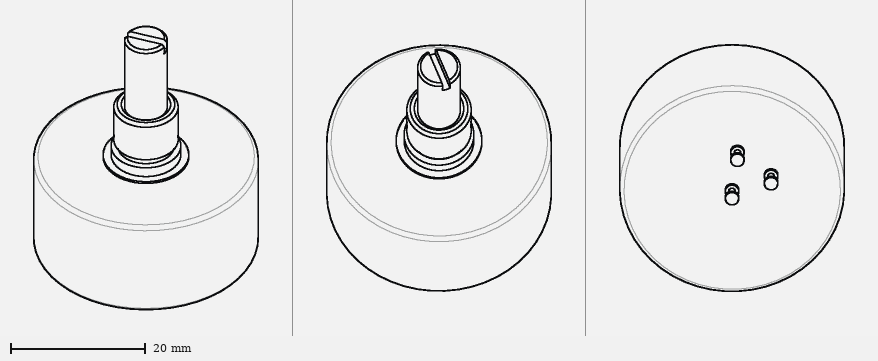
import cadquery as cq
import math

body_diameter = 33.3
body_height = 16.07
body_edge_radius = 0.63

washer_diameter = 12.73
washer_height = 0.35
collar_diameter = 10.35
collar_height = 1.67
neck_diameter = 8.37
neck_height = 1.2
bushing_diameter = 9.55
bushing_height = 6.7
bushing_chamfer = 0.5
countersink_depth = 0.5

shaft_diameter = 6.3
shaft_length = 12.7
shaft_chamfer = 0.4
slot_width = 1.17
slot_depth = 1.67

pin_length = 3.2
pin_stem_diameter = 1.0
pin_flange_diameter = 2.0
pin_flange_height = 0.5
pin_spacing = 6.28
pin_angles = (-120, -60)


def cylinder(diameter, height, base_z):
    """Cylinder on the Z axis, rising from base_z."""
    return cq.Workplane("XY").workplane(offset=base_z).circle(diameter / 2).extrude(height)


def make_body():
    return cylinder(body_diameter, body_height, 0).edges().fillet(body_edge_radius)


def make_bushing(base_z):
    """Washer, collar, neck and chamfered sleeve with a conical mouth around the shaft."""
    collar_z = base_z + washer_height
    neck_z = collar_z + collar_height
    sleeve_z = neck_z + neck_height
    sleeve = cylinder(bushing_diameter, bushing_height, sleeve_z).faces(">Z").chamfer(bushing_chamfer)
    mouth_z = sleeve_z + bushing_height - countersink_depth
    mouth = (
        cq.Workplane("XY")
        .workplane(offset=mouth_z)
        .circle(shaft_diameter / 2)
        .workplane(offset=countersink_depth)
        .circle(shaft_diameter / 2 + countersink_depth)
        .loft()
    )
    return (
        cylinder(washer_diameter, washer_height, base_z)
        .union(cylinder(collar_diameter, collar_height, collar_z))
        .union(cylinder(neck_diameter, neck_height, neck_z))
        .union(sleeve.cut(mouth))
    )


def make_shaft(base_z, top_z):
    shaft = cylinder(shaft_diameter, top_z - base_z, base_z).faces(">Z").chamfer(shaft_chamfer)
    slot = cq.Workplane("XY").box(shaft_diameter, slot_width, slot_depth, centered=(True, True, False))
    return shaft.cut(slot.translate((0, 0, top_z - slot_depth)))


def make_pin():
    """Terminal below the housing, with a flange at each end of its stem."""
    stem = cylinder(pin_stem_diameter, pin_length, -pin_length)
    root_flange = cylinder(pin_flange_diameter, pin_flange_height, -pin_flange_height)
    end_flange = cylinder(pin_flange_diameter, pin_flange_height, -pin_length)
    return stem.union(root_flange).union(end_flange)


bushing_top = body_height + washer_height + collar_height + neck_height + bushing_height
result = make_body().union(make_bushing(body_height))
result = result.union(make_shaft(body_height, bushing_top + shaft_length))

pin = make_pin()
result = result.union(pin)
for angle in pin_angles:
    pin_x = pin_spacing * math.cos(math.radians(angle))
    pin_y = pin_spacing * math.sin(math.radians(angle))
    result = result.union(pin.translate((pin_x, pin_y, 0)))